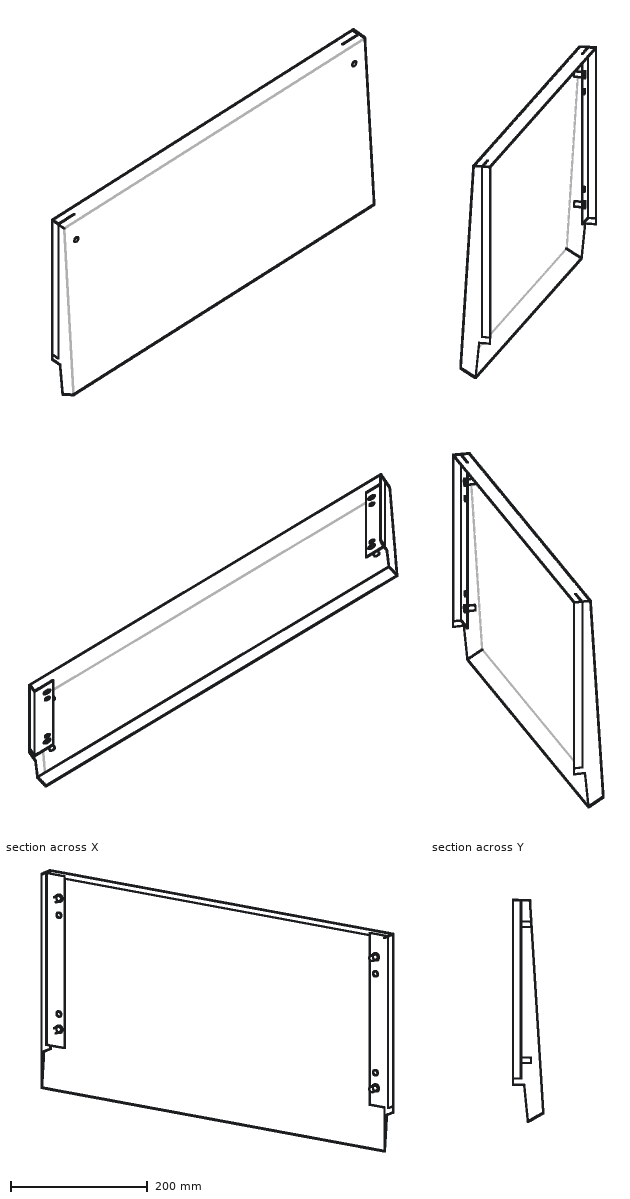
import cadquery as cq
import math

length = 612.0
height = 325.5
depth = 45.0
sheet = 1.0
bend_radius = 1.6

top_depth = 26.0
top_drop = 0.5
lip_rise = 13.5
lip_tip_x = 22.0
notch_x = 16.5
notch_z = 54.5

bracket_bottom_z = 63.5
bracket_width = 33.0
bracket_face_x = 11.5

hole_inset = 24.0
nut_heights = (90.5, 289.5)
plain_hole_heights = (114.0, 264.0)
plain_hole_dia = 8.0
flange_dia = 11.0
flange_thick = 0.5
barrel_dia = 8.5
bore_dia = 7.5
barrel_length = 14.5

half_length = length / 2
inner_half_length = half_length - sheet
panel_top_z = height - top_drop
top_slope = top_drop / top_depth

panel_lean = math.atan2(depth - top_depth, panel_top_z - lip_rise)
lip_tilt = math.atan2(lip_rise, depth - lip_tip_x)
bend_centre_inset = bend_radius * (math.cos(panel_lean) + math.sin(lip_tilt)) / (
    1 + math.sin(lip_tilt - panel_lean)
)
panel_low_x = depth - bend_radius + bend_centre_inset
lip_slope = lip_rise / (panel_low_x - lip_tip_x)


def extrude_profile(profile, half_width):
    """Extrude an XZ outline symmetrically about Y = 0."""
    return profile.extrude(half_width, both=True)


def make_tray():
    panel_top = (top_depth, panel_top_z)
    panel_low = (panel_low_x, lip_rise)
    outline = (
        cq.Workplane("XZ")
        .polyline([(0, height), panel_top, panel_low, (lip_tip_x, 0), (notch_x, notch_z), (0, notch_z)])
        .close()
    )
    open_x = -6.0
    hollow_outline = (
        cq.Workplane("XZ")
        .polyline(
            [
                (open_x, height - top_slope * open_x),
                panel_top,
                panel_low,
                (open_x, lip_slope * (open_x - lip_tip_x)),
            ]
        )
        .close()
        .offset2D(-sheet)
    )
    shell = extrude_profile(outline, half_length).faces(">X").edges().fillet(bend_radius)
    hollow = extrude_profile(hollow_outline, inner_half_length).faces(">X").edges().fillet(bend_radius - sheet)
    return shell.cut(hollow)


def x_cylinders(side, heights, diameter, x_start, x_length):
    """Cylinders along +X on the hole line of one bracket."""
    places = [(side * (half_length - hole_inset), z) for z in heights]
    return cq.Workplane("YZ", origin=(x_start, 0, 0)).pushPoints(places).circle(diameter / 2).extrude(x_length)


def make_bracket(side):
    """L-section strip: one leg against the tray wall, one leg parallel to YZ."""
    wall_y = side * inner_half_length
    leg_y = wall_y - side * sheet
    free_y = wall_y - side * bracket_width
    back_x = bracket_face_x + sheet
    top_z = height - sheet * math.hypot(1, top_slope) - top_slope * back_x
    bracket = (
        cq.Workplane("XY", origin=(0, 0, bracket_bottom_z))
        .polyline(
            [
                (0, wall_y),
                (back_x, wall_y),
                (back_x, free_y),
                (bracket_face_x, free_y),
                (bracket_face_x, leg_y),
                (0, leg_y),
            ]
        )
        .close()
        .extrude(top_z - bracket_bottom_z)
    )
    nut_holes = x_cylinders(side, nut_heights, barrel_dia, bracket_face_x, sheet)
    plain_holes = x_cylinders(side, plain_hole_heights, plain_hole_dia, bracket_face_x, sheet)
    return bracket.cut(nut_holes).cut(plain_holes)


def make_rivet_nut(side, z):
    """Flanged sleeve: the flange lies on the bracket's face, the barrel goes through its hole."""
    flange_x = bracket_face_x - flange_thick
    flange = x_cylinders(side, [z], flange_dia, flange_x, flange_thick)
    barrel = x_cylinders(side, [z], barrel_dia, bracket_face_x, barrel_length)
    bore = x_cylinders(side, [z], bore_dia, flange_x, flange_thick + barrel_length)
    return flange.union(barrel).cut(bore)


tray = make_tray()
brackets = [make_bracket(side) for side in (-1, 1)]
rivet_nuts = [make_rivet_nut(side, z) for side in (-1, 1) for z in nut_heights]

result = cq.Compound.makeCompound(
    [
        tray.solids().val(),
        *[bracket.solids().val() for bracket in brackets],
        *[nut.solids().val() for nut in rivet_nuts],
    ]
)